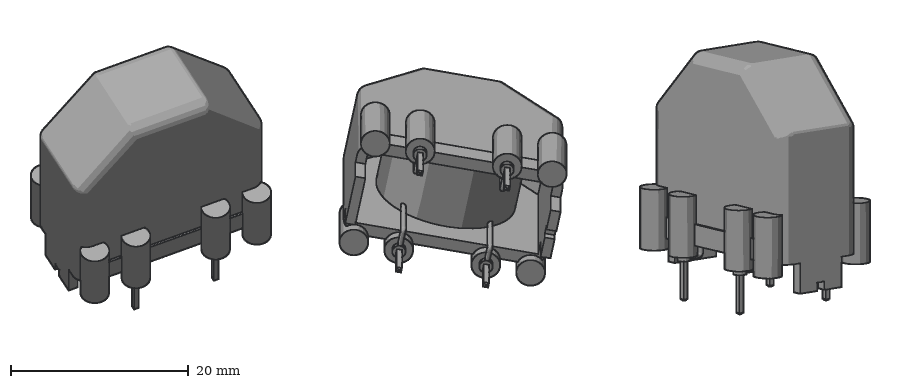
import cadquery as cq
import math

HOUSING_X = 11.3
HOUSING_Y = 23.5
HOUSING_TOP = 28.5
HOUSING_BOTTOM = 6.5
SHOULDER = 6.98
RIM_RADIUS = 1.7
CORNER_RADIUS = 0.68
WALL = 1.15

LEG_X = 6.0
LEG_BOTTOM = 3.0
NOTCH_X = 1.03
NOTCH_HEIGHT = 0.97

SKIRT_X = 11.85
SKIRT_HEIGHT = 2.45
SKIRT_Y = HOUSING_Y - 2 * RIM_RADIUS

POST_DIAMETER = 3.25
POST_BOTTOM = 5.25
POST_TOP = 12.25
POST_SPAN_X = 16.0
POST_X = (POST_SPAN_X - POST_DIAMETER) / 2
END_POST_Y = (HOUSING_Y - POST_DIAMETER) / 2

PIN_X = 6.25
PIN_Y = 5.0
PIN_WIDTH = 0.6
PIN_TIP = 0.2
COLLAR_DIAMETER = 1.5
COLLAR_HEIGHT = 0.63
WIRE_DIAMETER = 0.6
WIRE_BEND = 0.3
COLLAR_BOTTOM = POST_BOTTOM - COLLAR_HEIGHT
WIRE_Z = POST_BOTTOM - COLLAR_HEIGHT / 2
INNER_WIRE_X = 3.53
OUTER_WIRE_X = 3.85

RING_OUTER = 16.0
RING_INNER = 9.0
RING_X = 8.55
RING_Z = (HOUSING_BOTTOM + HOUSING_TOP - WALL) / 2


def box(size_x, size_y, bottom, top):
    """Block centred on the Z axis between two heights."""
    block = cq.Workplane("XY").workplane(offset=bottom)
    return block.rect(size_x, size_y).extrude(top - bottom)


def cylinder(diameter, x, y, bottom, top):
    """Upright cylinder between two heights."""
    base = cq.Workplane("XY").workplane(offset=bottom).center(x, y)
    return base.circle(diameter / 2).extrude(top - bottom)


def gabled_block(size_x, size_y, bottom, top, shoulder):
    """Block with both top corners cut off at 45 degrees."""
    half_y = size_y / 2
    outline = [
        (-half_y, bottom),
        (half_y, bottom),
        (half_y, top - shoulder),
        (half_y - shoulder, top),
        (shoulder - half_y, top),
        (-half_y, top - shoulder),
    ]
    return cq.Workplane("YZ").polyline(outline).close().extrude(size_x / 2, both=True)


def rounded_block():
    """Outside shape of the housing, with its rims and then its roof corners rounded."""
    block = gabled_block(HOUSING_X, HOUSING_Y, HOUSING_BOTTOM, HOUSING_TOP, SHOULDER)
    block = block.faces("<X or >X").edges("not(<Z)").fillet(RIM_RADIUS)
    roof_corners = block.edges("|X").edges("not(<Z)")
    return roof_corners.fillet(CORNER_RADIUS)


def cavity():
    """Space inside the shell, open at the bottom, with the same thickness left on the flat walls."""
    shoulder = SHOULDER - WALL * (2 - math.sqrt(2))
    return gabled_block(
        HOUSING_X - 2 * WALL, HOUSING_Y - 2 * WALL, LEG_BOTTOM, HOUSING_TOP - WALL, shoulder)


def legs():
    """Flat legs continuing the two narrow ends downwards, the front one notched."""
    notch_top = LEG_BOTTOM + NOTCH_HEIGHT
    both = box(LEG_X, HOUSING_Y, LEG_BOTTOM, HOUSING_BOTTOM)
    notch = box(NOTCH_X, 2 * WALL, LEG_BOTTOM, notch_top).translate((0, -HOUSING_Y / 2, 0))
    return both.cut(notch)


def make_housing():
    """Hollow housing with skirt, legs and eight posts."""
    body = rounded_block()
    body = body.union(box(SKIRT_X, SKIRT_Y, HOUSING_BOTTOM, HOUSING_BOTTOM + SKIRT_HEIGHT))
    body = body.union(legs())
    for x in (-POST_X, POST_X):
        for y in (-END_POST_Y, -PIN_Y, PIN_Y, END_POST_Y):
            body = body.union(cylinder(POST_DIAMETER, x, y, POST_BOTTOM, POST_TOP))
    return body.cut(cavity())


def make_ring():
    """Ring with its axis along X, standing in the cavity."""
    ring = cq.Workplane("YZ").center(0, RING_Z).circle(RING_OUTER / 2).circle(RING_INNER / 2)
    return ring.extrude(RING_X / 2, both=True)


def make_terminal(wire_x):
    """Pin, collar and wire of a terminal on the +X side; the wire rises into the ring at wire_x."""
    pin = box(PIN_WIDTH, PIN_WIDTH, 0, COLLAR_BOTTOM).faces("<Z").chamfer(PIN_TIP)
    pin = pin.translate((PIN_X, 0, 0))
    collar = cylinder(COLLAR_DIAMETER, PIN_X, 0, COLLAR_BOTTOM, POST_BOTTOM)
    diagonal = WIRE_BEND * (1 - math.sqrt(0.5))
    path = (
        cq.Workplane("XZ")
        .moveTo(PIN_X, WIRE_Z)
        .lineTo(wire_x + WIRE_BEND, WIRE_Z)
        .threePointArc((wire_x + diagonal, WIRE_Z + diagonal), (wire_x, WIRE_Z + WIRE_BEND))
        .lineTo(wire_x, RING_Z)
    )
    wire = cq.Workplane("YZ", origin=(PIN_X, 0, WIRE_Z)).circle(WIRE_DIAMETER / 2).sweep(path)
    return pin.union(collar).union(wire)


def make_coil():
    """Ring coil with its four terminals, each pair alike after half a turn about Z."""
    coil = make_ring()
    front = make_terminal(OUTER_WIRE_X).translate((0, -PIN_Y, 0))
    back = make_terminal(INNER_WIRE_X).translate((0, PIN_Y, 0))
    for terminal in (front, back):
        for turn in (0, 180):
            coil = coil.union(terminal.rotate((0, 0, 0), (0, 0, 1), turn))
    return coil


housing = make_housing()
coil = make_coil()
result = cq.Compound.makeCompound([*housing.solids().vals(), *coil.solids().vals()])